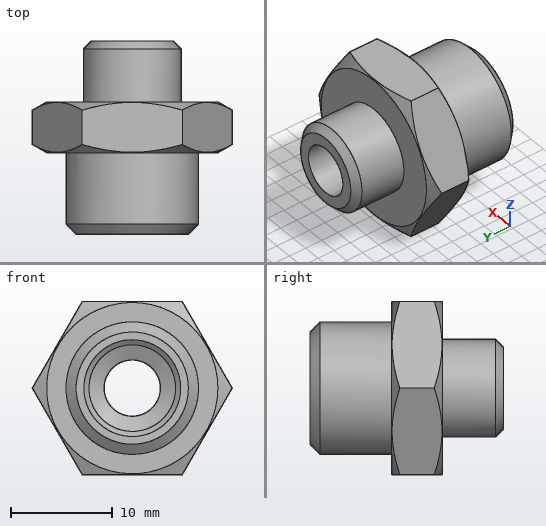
import cadquery as cq
import math

across_corners = 19.63
hex_length = 5.0
hex_face_diameter = 16.8
hex_chamfer_angle = 30.0

front_diameter = 13.01
front_length = 8.0
front_chamfer = 1.0

rear_diameter = 9.62
rear_length = 5.99
rear_chamfer = 0.79

bore_diameter = 5.5
counterbore_diameter = 8.5
mouth_diameter = 9.5
mouth_depth = (mouth_diameter - counterbore_diameter) / 2
drill_point_angle = 118.0

hex_front = -hex_length / 2
hex_rear = hex_length / 2
front_end = hex_front - front_length
rear_end = hex_rear + rear_length


def revolve_profile(points):
    """Revolve a closed (radius, y) outline about the Y axis."""
    return cq.Workplane("XY").polyline(points).close().revolve(360, (0, 0, 0), (0, 1, 0))


def hexagon():
    """Hexagonal prism with its corners turned down on both faces."""
    prism = (
        cq.Workplane("XZ", origin=(0, hex_rear, 0))
        .polygon(6, across_corners)
        .extrude(hex_length)
    )
    face_radius = hex_face_diameter / 2
    outer_radius = across_corners / 2
    drop = (outer_radius - face_radius) * math.tan(math.radians(hex_chamfer_angle))
    envelope = revolve_profile([
        (0, hex_front),
        (face_radius, hex_front),
        (outer_radius, hex_front + drop),
        (outer_radius, hex_rear - drop),
        (face_radius, hex_rear),
        (0, hex_rear),
    ])
    return prism.intersect(envelope)


def spigots():
    """Stepped turned body with a chamfer at each end."""
    front_radius = front_diameter / 2
    rear_radius = rear_diameter / 2
    return revolve_profile([
        (0, front_end),
        (front_radius - front_chamfer, front_end),
        (front_radius, front_end + front_chamfer),
        (front_radius, 0),
        (rear_radius, 0),
        (rear_radius, rear_end - rear_chamfer),
        (rear_radius - rear_chamfer, rear_end),
        (0, rear_end),
    ])


def bore():
    """Through hole, drilled counterbore with a conical floor and countersunk mouth."""
    bore_radius = bore_diameter / 2
    counterbore_radius = counterbore_diameter / 2
    half_angle = math.radians(drill_point_angle / 2)
    floor_depth = (counterbore_radius - bore_radius) / math.tan(half_angle)
    return revolve_profile([
        (0, front_end),
        (mouth_diameter / 2, front_end),
        (counterbore_radius, front_end + mouth_depth),
        (counterbore_radius, hex_front),
        (bore_radius, hex_front + floor_depth),
        (bore_radius, rear_end),
        (0, rear_end),
    ])


result = hexagon().union(spigots()).cut(bore())